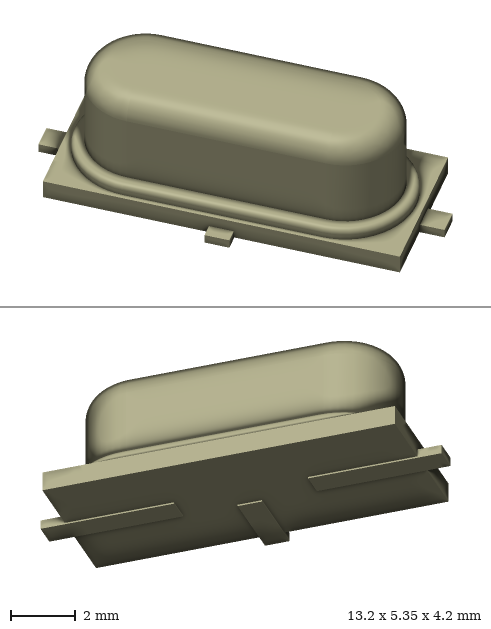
import cadquery as cq

overall_length = 13.2
lead_width = 0.8
lead_height = 0.3
end_lead_length = 4.4
side_lead_overhang = 0.45
side_lead_inner_y = -lead_width / 2

base_length = 11.6
base_width = 4.9
base_bottom = 0.05
base_top = 0.7

arc_center_distance = 6.5
flange_width = 4.61
flange_top = 1.1
flange_round = 0.2
can_width = 3.8
can_top = 4.2
can_round = 0.8


def slot_body(width, bottom, top, edge_round):
    """Round-ended block along X with a rounded top edge."""
    return (
        cq.Workplane("XY", origin=(0, 0, bottom))
        .slot2D(arc_center_distance + width, width)
        .extrude(top - bottom)
        .faces(">Z")
        .edges()
        .fillet(edge_round)
    )


def make_end_lead(side):
    """Flat lead reaching out past one end of the base; side is -1 or +1."""
    center_x = side * (overall_length - end_lead_length) / 2
    return (
        cq.Workplane("XY", origin=(center_x, 0, 0))
        .rect(end_lead_length, lead_width)
        .extrude(lead_height)
    )


def make_side_lead():
    """Flat lead reaching out past the middle of the -Y side."""
    outer_y = -base_width / 2 - side_lead_overhang
    length = side_lead_inner_y - outer_y
    return (
        cq.Workplane("XY", origin=(0, (outer_y + side_lead_inner_y) / 2, 0))
        .rect(lead_width, length)
        .extrude(lead_height)
    )


def make_base(leads):
    """Rectangular base with a matching recess for each lead."""
    base = (
        cq.Workplane("XY", origin=(0, 0, base_bottom))
        .rect(base_length, base_width)
        .extrude(base_top - base_bottom)
    )
    for lead in leads:
        base = base.cut(lead)
    return base


end_leads = [make_end_lead(side) for side in (-1, 1)]
side_lead = make_side_lead()
base = make_base([*end_leads, side_lead])
flange = slot_body(flange_width, base_top, flange_top, flange_round)
can = slot_body(can_width, flange_top, can_top, can_round)

result = cq.Compound.makeCompound(
    [base.val().Solids()[0], flange.val(), can.val(), side_lead.val(), *[lead.val() for lead in end_leads]]
)